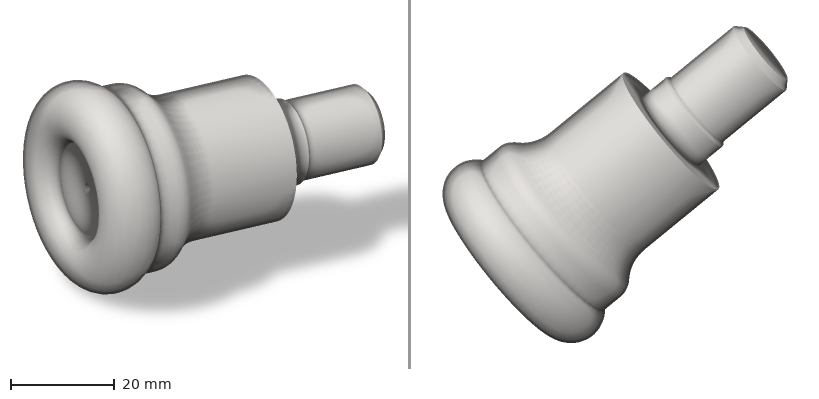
import cadquery as cq
import math

total_length = 67.0

head_radius = 21.0
ring_section_radius = 6.0
dish_radius = 9.25
dish_cone_depth = 1.0
center_mark_radius = 1.0
center_mark_depth = 1.0

collar_radius = 18.55
collar_end = 15.1
flare_length = 9.5
shoulder_arc_radius = 3.95

body_radius = 14.5
body_end = 43.1
pilot_radius = 8.6
pilot_end = 49.05
stem_radius = 8.0
tip_chamfer = 1.5

flare_angle = 2 * math.atan((collar_radius - body_radius) / flare_length)
cove_arc_radius = flare_length / math.sin(flare_angle) - shoulder_arc_radius
flare_end = collar_end + flare_length

ring_center_radius = head_radius - ring_section_radius
ring_center_y = ring_section_radius
dish_edge_y = ring_center_y - math.sqrt(ring_section_radius**2 - (ring_center_radius - dish_radius) ** 2)
collar_start = ring_center_y + math.sqrt(ring_section_radius**2 - (collar_radius - ring_center_radius) ** 2)
mark_edge_y = dish_edge_y + dish_cone_depth * (1 - center_mark_radius / dish_radius)


def shoulder_point(angle):
    """Point on the convex arc, turned by angle from the collar surface."""
    return (
        collar_radius - shoulder_arc_radius * (1 - math.cos(angle)),
        collar_end + shoulder_arc_radius * math.sin(angle),
    )


def cove_point(angle):
    """Point on the concave arc, turned by angle from the body surface."""
    return (
        body_radius + cove_arc_radius * (1 - math.cos(angle)),
        flare_end - cove_arc_radius * math.sin(angle),
    )


profile = (
    cq.Workplane("XY")
    .moveTo(0, mark_edge_y + center_mark_depth)
    .lineTo(center_mark_radius, mark_edge_y)
    .lineTo(dish_radius, dish_edge_y)
    .threePointArc((head_radius, ring_center_y), (collar_radius, collar_start))
    .lineTo(collar_radius, collar_end)
    .threePointArc(shoulder_point(flare_angle / 2), shoulder_point(flare_angle))
    .threePointArc(cove_point(flare_angle / 2), (body_radius, flare_end))
    .lineTo(body_radius, body_end)
    .lineTo(pilot_radius, body_end)
    .lineTo(pilot_radius, pilot_end)
    .lineTo(stem_radius, pilot_end + pilot_radius - stem_radius)
    .lineTo(stem_radius, total_length - tip_chamfer)
    .lineTo(stem_radius - tip_chamfer, total_length)
    .lineTo(0, total_length)
    .close()
)

result = profile.revolve(360, (0, 0, 0), (0, 1, 0))